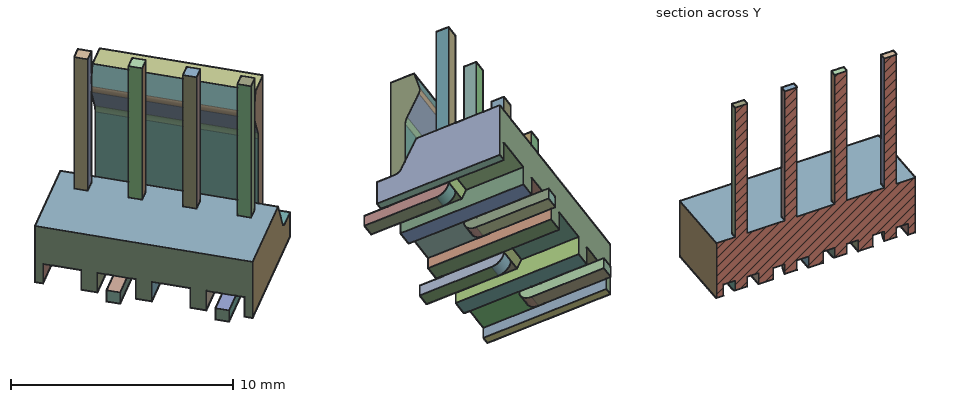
import cadquery as cq
import math


pin_count = 4
pitch = 2.54
pin_size = 0.64
pin_top = 10.54
bend_radius = pin_size

body_length = pin_count * pitch
body_depth = 6.35
body_height = 3.16
body_front = -3.5
body_back = body_front + body_depth

overall_depth = 8.08
back_tail_reach = 1.18
front_tail_reach = overall_depth - body_depth - back_tail_reach
back_tail_end = body_back + back_tail_reach
front_tail_end = body_front - front_tail_reach

slope_rise_per_run = 2.0
ledge_height = 1.375
ramp_top_inset = 2.04
ramp_fillet = 0.38

latch_width = (pin_count - 1) * pitch
latch_height = 8.82
latch_thickness = 0.76
latch_top_thickness = 1.21
nose_thickness = 1.54
nose_height = 7.58
nose_fillet = 0.5
throat_fillet = 0.9

slot_width = 1.78
slot_mouth_height = 1.1
slot_rear_height = pin_size
slot_slope_end = -pin_size / 2

pin_positions = [(i - (pin_count - 1) / 2) * pitch for i in range(pin_count)]


def extrude_profile(points, width):
    """Extrude a closed (y, z) outline along X, centred on X = 0."""
    return cq.Workplane("YZ").polyline(points).close().extrude(width / 2, both=True)


def fillet_edge_at(solid, y, z, radius):
    """Round the edge parallel to X that passes through (y, z)."""
    return solid.edges(cq.selectors.NearestToPointSelector((0, y, z))).fillet(radius)


def make_body():
    ramp_top = body_back - ramp_top_inset
    ramp_foot = ramp_top + (body_height - ledge_height) / slope_rise_per_run
    outline = [
        (body_front, 0),
        (body_back, 0),
        (body_back, ledge_height),
        (ramp_foot, ledge_height),
        (ramp_top, body_height),
        (body_front, body_height),
    ]
    body = extrude_profile(outline, body_length)
    return fillet_edge_at(body, ramp_foot, ledge_height, ramp_fillet)


def make_latch():
    blade_face = body_back - latch_thickness
    nose_point = body_back - nose_thickness
    throat_height = nose_height - (blade_face - nose_point) * slope_rise_per_run
    outline = [
        (body_back, ledge_height),
        (body_back, latch_height),
        (body_back - latch_top_thickness, latch_height),
        (nose_point, nose_height),
        (blade_face, throat_height),
        (blade_face, ledge_height),
    ]
    latch = extrude_profile(outline, latch_width)
    latch = fillet_edge_at(latch, nose_point, nose_height, nose_fillet)
    return fillet_edge_at(latch, blade_face, throat_height, throat_fillet)


def make_slot(x):
    slope_run = (slot_mouth_height - slot_rear_height) / slope_rise_per_run
    outline = [
        (body_front, 0),
        (body_back, 0),
        (body_back, slot_rear_height),
        (slot_slope_end, slot_rear_height),
        (slot_slope_end - slope_run, slot_mouth_height),
        (body_front, slot_mouth_height),
    ]
    return extrude_profile(outline, slot_width).translate((x, 0, 0))


def make_pin(x, tail_end):
    """Upright post with a tail along Y and a rounded outer bend at its heel."""
    heel = -math.copysign(pin_size / 2, tail_end)
    outline = [
        (heel, 0),
        (tail_end, 0),
        (tail_end, pin_size),
        (-heel, pin_size),
        (-heel, pin_top),
        (heel, pin_top),
    ]
    pin = extrude_profile(outline, pin_size)
    pin = fillet_edge_at(pin, heel, 0, bend_radius)
    return pin.translate((x, 0, 0))


result = make_body().union(make_latch())

for x in pin_positions:
    result = result.cut(make_slot(x))

for index, x in enumerate(pin_positions):
    tail_end = back_tail_end if index % 2 == 0 else front_tail_end
    result = result.union(make_pin(x, tail_end))